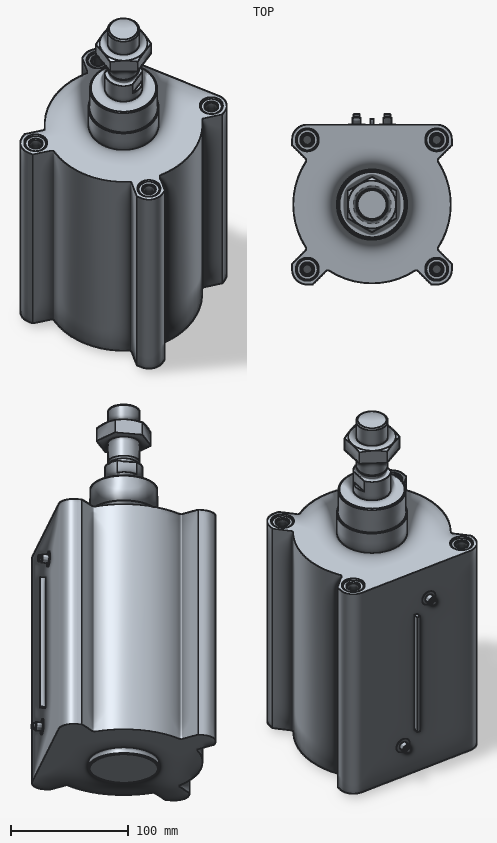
import cadquery as cq
import math

barrel_bottom = 6.0
barrel_top = 216.5
guide_top = 237.5
collar_top = 261.5
flats_bottom = 270.0
shank_top = 281.0
thread_bottom = 284.5
nut_bottom = 304.2
nut_height = 13.0
rod_top = 335.0
barrel_height = barrel_top - barrel_bottom
barrel_middle = (barrel_bottom + barrel_top) / 2

barrel_radius = 67.0
half_width = 68.0
boss_offset = 55.0
boss_radius = half_width - boss_offset
boss_half_width = 12.5
notch_fillet = 2.0

counterbore_mouth_diameter = 19.8
counterbore_floor_diameter = 17.5
counterbore_depth = 1.0
tie_hole_mouth_diameter = 12.0
tie_hole_diameter = 10.0
tie_hole_depth = 13.5
tie_hole_pilot_diameter = 8.0
tie_hole_pilot_depth = 20.0

guide_diameter = 60.0
collar_bottom_diameter = 58.0
collar_top_diameter = 57.3
end_chamfer = 1.0
guide_chamfer = 0.7

port_x = 13.0
port_spacing = 145.0
port_flange_diameter = 13.5
port_flange_top = 68.5
port_body_diameter = 7.5
port_body_top = 73.7
port_groove_diameter = 5.0
port_groove_top = 74.7
port_tip_diameter = 5.7
port_tip_top = 77.0
port_tip_chamfer = 0.7
rail_width = 3.0
rail_top = 72.7
rail_length = 121.0

shank_diameter = 32.0
thread_diameter = 27.0
neck_diameter = 24.8
width_across_flats = 27.0
thread_bottom_chamfer = 2.0
thread_top_chamfer = 1.5
neck_fillet = 1.0

nut_across_flats = 41.0
nut_across_corners = nut_across_flats / math.cos(math.pi / 6)
nut_chamfer_diameter = 40.5
nut_chamfer_height = 1.5


def cylinder(diameter, bottom, top):
    return cq.Workplane("XY").workplane(offset=bottom).circle(diameter / 2).extrude(top - bottom)


def cone(bottom_diameter, top_diameter, bottom, top):
    return cq.Workplane(
        cq.Solid.makeCone(bottom_diameter / 2, top_diameter / 2, top - bottom, cq.Vector(0, 0, bottom))
    )


def make_barrel():
    """Round barrel with a flat +Y side and four corner bosses whose flanks run at 45 degrees."""
    base = cq.Workplane("XY").workplane(offset=barrel_bottom)
    round_core = base.circle(barrel_radius).extrude(barrel_height)

    square = base.rect(2 * half_width, 2 * half_width).extrude(barrel_height)
    square = square.edges("|Z").fillet(boss_radius)
    strip = base.rect(4 * half_width, 2 * boss_half_width).extrude(barrel_height)
    diagonals = strip.rotate((0, 0, 0), (0, 0, 1), 45).union(strip.rotate((0, 0, 0), (0, 0, 1), -45))
    bosses = square.intersect(diagonals)

    flat_side = base.center(0, half_width - boss_radius / 2).rect(2 * boss_offset, boss_radius)
    barrel = round_core.union(bosses).union(flat_side.extrude(barrel_height)).clean()

    along = math.sqrt(barrel_radius**2 - boss_half_width**2)
    far = (along + boss_half_width) / math.sqrt(2)
    near = (along - boss_half_width) / math.sqrt(2)
    for x, y in ((far, near), (far, -near), (near, -far), (-near, -far), (-far, -near), (-far, near)):
        notch_edge = barrel.edges(cq.NearestToPointSelector((x, y, barrel_middle)))
        barrel = notch_edge.fillet(notch_fillet)
    return barrel


def make_tie_rod_hole():
    """Shallow tapered counterbore with a countersunk, stepped blind hole in its floor."""
    floor = barrel_top - counterbore_depth
    countersink_depth = (tie_hole_mouth_diameter - tie_hole_diameter) / 2
    counterbore = cone(counterbore_floor_diameter, counterbore_mouth_diameter, floor, barrel_top)
    countersink = cone(tie_hole_diameter, tie_hole_mouth_diameter, floor - countersink_depth, floor)
    hole = cylinder(tie_hole_diameter, barrel_top - tie_hole_depth, floor)
    pilot = cylinder(tie_hole_pilot_diameter, barrel_top - tie_hole_pilot_depth, floor)
    return counterbore.union(countersink).union(hole).union(pilot)


def make_port(x, z):
    """Flanged port fitting that points along +Y and has a grooved, chamfered tip."""
    port = None
    step_base = boss_offset
    for diameter, top in (
        (port_flange_diameter, port_flange_top),
        (port_body_diameter, port_body_top),
        (port_groove_diameter, port_groove_top),
        (port_tip_diameter, port_tip_top),
    ):
        step = (
            cq.Workplane("XZ", origin=(x, step_base, z))
            .circle(diameter / 2)
            .extrude(step_base - top)
        )
        port = step if port is None else port.union(step)
        step_base = top
    return port.faces(">Y").chamfer(port_tip_chamfer)


def make_rail():
    depth = rail_top - boss_offset
    return cq.Workplane("XY").box(rail_width, depth, rail_length).translate(
        (0, boss_offset + depth / 2, barrel_middle)
    )


def make_housing():
    spigot = cylinder(guide_diameter, 0, barrel_bottom).faces("<Z").chamfer(end_chamfer)
    guide = cylinder(guide_diameter, barrel_top, guide_top).faces(">Z").chamfer(guide_chamfer)
    collar = cone(collar_bottom_diameter, collar_top_diameter, guide_top, collar_top)
    collar = collar.faces(">Z").chamfer(end_chamfer)
    housing = make_barrel().union(spigot).union(guide).union(collar)

    for x in (-boss_offset, boss_offset):
        for y in (-boss_offset, boss_offset):
            housing = housing.cut(make_tie_rod_hole().translate((x, y, 0)))

    for side in (-1, 1):
        housing = housing.union(make_port(side * port_x, barrel_middle - side * port_spacing / 2))
    housing = housing.union(make_rail())

    return housing.cut(cylinder(shank_diameter, barrel_top, collar_top))


def make_rod():
    shank = cylinder(shank_diameter, barrel_top, shank_top)
    flats = (
        cq.Workplane("XY")
        .workplane(offset=flats_bottom)
        .rect(width_across_flats, shank_diameter)
        .extrude(shank_top - flats_bottom)
    )
    shank = shank.intersect(cylinder(shank_diameter, barrel_top, flats_bottom).union(flats))
    neck = cylinder(neck_diameter, shank_top, thread_bottom)
    thread = cylinder(thread_diameter, thread_bottom, rod_top)
    thread_end = (thread_diameter - neck_diameter) / 2
    thread = thread.faces("<Z").chamfer(thread_bottom_chamfer, thread_end)
    thread = thread.faces(">Z").chamfer(thread_top_chamfer)
    rod = shank.union(neck)
    neck_root = rod.edges(cq.NearestToPointSelector((0, 0, shank_top)))
    return neck_root.fillet(neck_fillet).union(thread)


def make_nut():
    """Hexagon nut with flats facing +X and -X, chamfered on top."""
    nut_top = nut_bottom + nut_height
    hexagon = (
        cq.Workplane("XY")
        .workplane(offset=nut_bottom)
        .transformed(rotate=(0, 0, 30))
        .polygon(6, nut_across_corners)
        .extrude(nut_height)
    )
    chamfer_start = nut_top - nut_chamfer_height
    envelope = cylinder(nut_across_corners, nut_bottom, chamfer_start).union(
        cone(nut_across_corners, nut_chamfer_diameter, chamfer_start, nut_top)
    )
    return hexagon.intersect(envelope).cut(cylinder(thread_diameter, nut_bottom, nut_top))


housing = make_housing()
rod = make_rod()
nut = make_nut()
result = cq.Compound.makeCompound([housing.solids().val(), rod.solids().val(), nut.solids().val()])